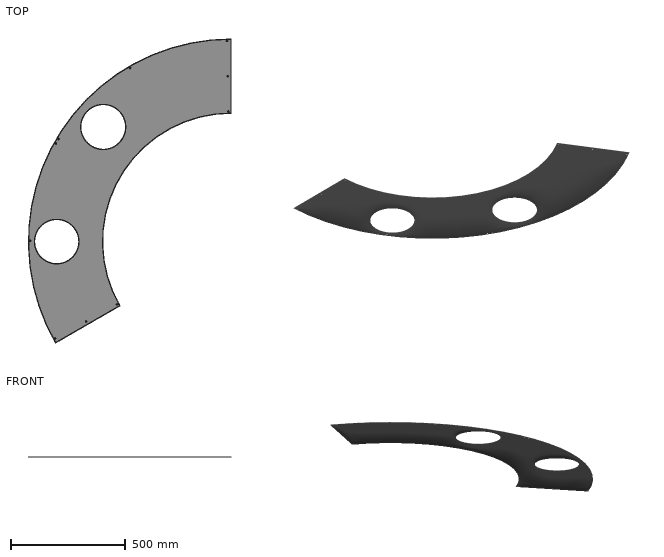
import cadquery as cq
import math

OUTER_RADIUS = 885.1
RING_WIDTH = 324.5
INNER_RADIUS = OUTER_RADIUS - RING_WIDTH
MID_RADIUS = (OUTER_RADIUS + INNER_RADIUS) / 2
THICKNESS = 1.47
START_ANGLE = 90.0
END_ANGLE = 210.0
MIDDLE_ANGLE = (START_ANGLE + END_ANGLE) / 2

OPENINGS = [
    (750.0, 138.1, 195.5),
    (761.5, 180.0, 193.0),
]

FIXING_DIAMETER = 5.0
EDGE_MARGIN = 8.0
END_MARGIN_ANGLE = 1.15
RIM_PAIR_HALF_ANGLE = 0.75
OUTER_FIXING_RADIUS = OUTER_RADIUS - EDGE_MARGIN
INNER_FIXING_RADIUS = INNER_RADIUS + EDGE_MARGIN


def polar(radius, angle):
    """Point at the given radius and angle in degrees, measured from +X."""
    turn = math.radians(angle)
    return (radius * math.cos(turn), radius * math.sin(turn))


def make_plate():
    """Flat ring sector between the start and end angles."""
    return (
        cq.Workplane("XY")
        .moveTo(*polar(INNER_RADIUS, START_ANGLE))
        .lineTo(*polar(OUTER_RADIUS, START_ANGLE))
        .threePointArc(polar(OUTER_RADIUS, MIDDLE_ANGLE), polar(OUTER_RADIUS, END_ANGLE))
        .lineTo(*polar(INNER_RADIUS, END_ANGLE))
        .threePointArc(polar(INNER_RADIUS, MIDDLE_ANGLE), polar(INNER_RADIUS, START_ANGLE))
        .close()
        .extrude(THICKNESS)
    )


def fixing_points():
    """Centres of the holes along both straight ends and the outer edge."""
    end_angles = (START_ANGLE + END_MARGIN_ANGLE, END_ANGLE - END_MARGIN_ANGLE)
    end_radii = (INNER_FIXING_RADIUS, MID_RADIUS, OUTER_FIXING_RADIUS)
    points = [polar(radius, angle) for angle in end_angles for radius in end_radii]

    first_half_end = MIDDLE_ANGLE - RIM_PAIR_HALF_ANGLE
    second_half_start = MIDDLE_ANGLE + RIM_PAIR_HALF_ANGLE
    edge_angles = (
        (end_angles[0] + first_half_end) / 2,
        first_half_end,
        second_half_start,
        (second_half_start + end_angles[1]) / 2,
    )
    points += [polar(OUTER_FIXING_RADIUS, angle) for angle in edge_angles]
    return points


def cut_openings(plate):
    """Cut the large round openings through the plate."""
    for radius, angle, diameter in OPENINGS:
        cutter = cq.Workplane("XY").center(*polar(radius, angle)).circle(diameter / 2).extrude(THICKNESS)
        plate = plate.cut(cutter)
    return plate


def cut_fixings(plate):
    """Cut the small fixing holes through the plate."""
    cutters = cq.Workplane("XY").pushPoints(fixing_points()).circle(FIXING_DIAMETER / 2).extrude(THICKNESS)
    return plate.cut(cutters)


result = cut_fixings(cut_openings(make_plate()))